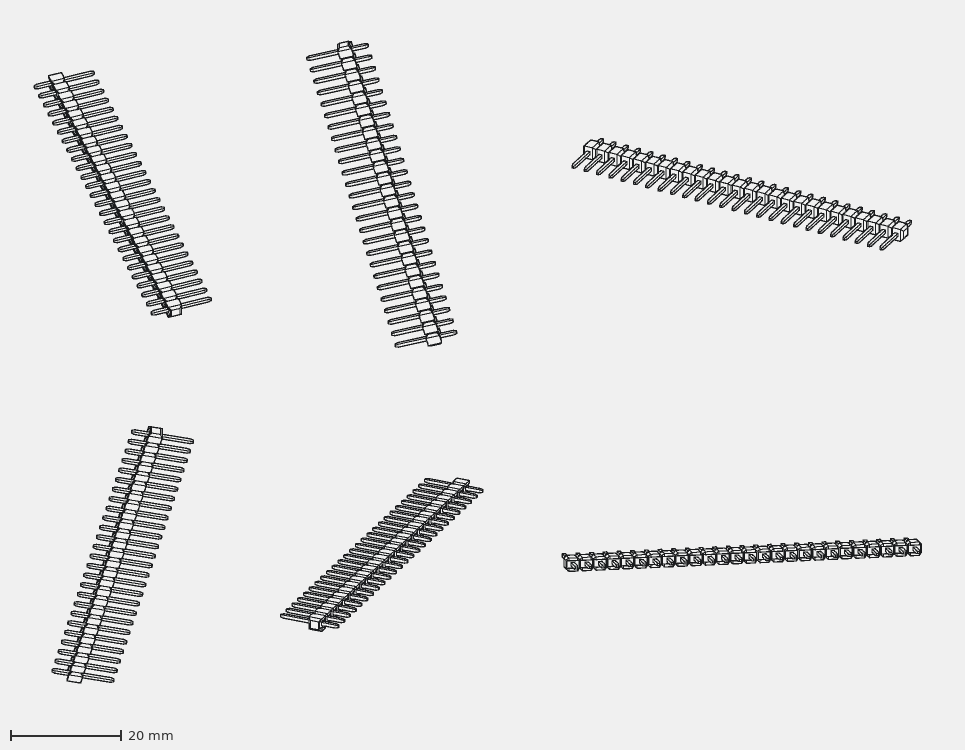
import cadquery as cq

PITCH = 2.54
PIN_COUNT = 26

BODY_DEPTH = 2.54
BODY_HEIGHT = 2.5
BEVEL = 0.46
RECESS_DEPTH = 0.3
RECESS_HEIGHT = 1.4

PIN_SIDE = 0.64
TIP_SIDE = 0.38
TIP_LENGTH = 0.54
FRONT_PROJECTION = 3.0
BACK_PROJECTION = 6.0

FRONT_FACE = -BODY_DEPTH / 2
BACK_FACE = BODY_DEPTH / 2


def octagon_prism(plane, height, length):
    """Prism normal to plane, centred on it, PITCH wide along X, with four bevelled corners."""
    half_x = PITCH / 2
    half_height = height / 2
    inner_x = half_x - BEVEL
    inner_height = half_height - BEVEL
    corners = [
        (inner_x, half_height),
        (half_x, inner_height),
        (half_x, -inner_height),
        (inner_x, -half_height),
        (-inner_x, -half_height),
        (-half_x, -inner_height),
        (-half_x, inner_height),
        (-inner_x, half_height),
    ]
    return cq.Workplane(plane).polyline(corners).close().extrude(length / 2, both=True)


def make_insulator_cell():
    side_profile = octagon_prism("XZ", BODY_HEIGHT, BODY_DEPTH)
    plan_profile = octagon_prism("XY", BODY_DEPTH, BODY_HEIGHT)
    recess = cq.Workplane("XY").box(PITCH, 2 * RECESS_DEPTH, RECESS_HEIGHT).translate((0, FRONT_FACE, 0))
    return side_profile.intersect(plan_profile).cut(recess)


def pin_tip(tip_y, direction):
    """Frustum from the blunt tip at tip_y back to the full pin section."""
    return (
        cq.Workplane("XZ", origin=(0, tip_y, 0))
        .rect(TIP_SIDE, TIP_SIDE)
        .workplane(offset=direction * TIP_LENGTH)
        .rect(PIN_SIDE, PIN_SIDE)
        .loft(ruled=True)
    )


def make_pin():
    front_tip = FRONT_FACE - FRONT_PROJECTION
    back_tip = BACK_FACE + BACK_PROJECTION
    shaft_length = back_tip - front_tip - 2 * TIP_LENGTH
    shaft_centre = (front_tip + back_tip) / 2
    shaft = cq.Workplane("XY").box(PIN_SIDE, shaft_length, PIN_SIDE).translate((0, shaft_centre, 0))
    return shaft.union(pin_tip(front_tip, -1)).union(pin_tip(back_tip, 1))


def make_header():
    cell = make_insulator_cell().union(make_pin())
    first_x = -(PIN_COUNT - 1) * PITCH / 2
    header = cell.translate((first_x, 0, 0))
    for index in range(1, PIN_COUNT):
        header = header.union(cell.translate((first_x + index * PITCH, 0, 0)))
    return header


result = make_header()